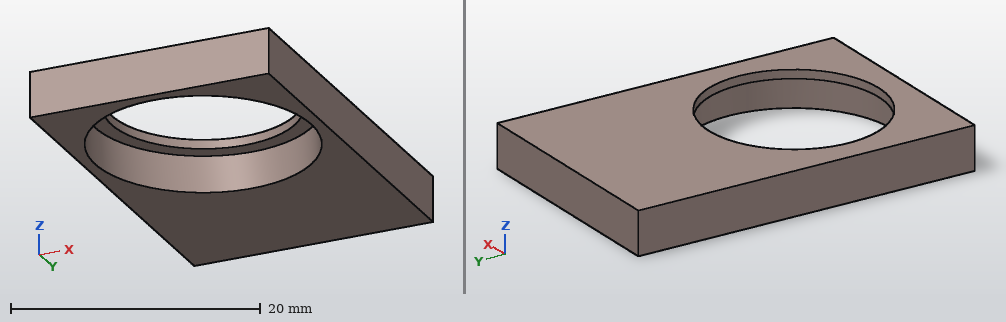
import cadquery as cq

plate_width = 21.0
plate_length = 32.0
plate_thickness = 4.0

lip_diameter = 16.13
lip_height = 0.8
bore_wall = 1.0
bore_diameter = plate_width - 2 * bore_wall
bore_depth = plate_thickness - lip_height

hole_y = (plate_width - plate_length) / 2
bottom_z = -plate_thickness / 2


def cylinder_from_bottom(diameter, height):
    """Upright cylinder on the hole axis, starting at the bottom face."""
    return (
        cq.Workplane("XY", origin=(0, hole_y, bottom_z))
        .circle(diameter / 2)
        .extrude(height)
    )


plate = cq.Workplane("XY").box(plate_width, plate_length, plate_thickness)
lip_hole = cylinder_from_bottom(lip_diameter, plate_thickness)
bore = cylinder_from_bottom(bore_diameter, bore_depth)

result = plate.cut(lip_hole).cut(bore)